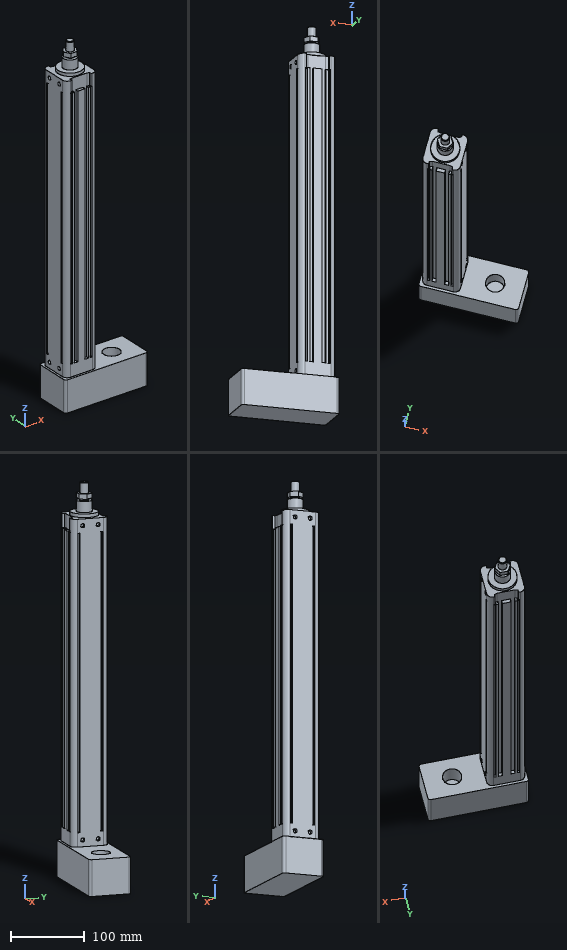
import cadquery as cq

total_height = 551.0

base_length = 140.0
base_width = 60.0
base_height = 51.0
base_corner_radius = 4.0
motor_hole_diameter = 26.0
motor_hole_offset = 70.0
motor_hole_depth = base_height / 2

column_side = 53.0
column_corner_radius = 7.5
column_top = 505.0
end_cap_height = 20.0
profile_bottom = base_height + end_cap_height
profile_top = column_top - end_cap_height
profile_length = profile_top - profile_bottom
half_side = column_side / 2

slot_inner = 6.0
slot_width = 5.5
slot_depth = 5.0
groove_inner = 15.0
groove_width = 3.0
groove_depth = 3.5

recess_floor_width = 25.0
recess_mouth_width = 32.5
recess_wall_depth = 4.0
recess_depth = 5.0

cap_hole_diameter = 5.5
cap_hole_depth = 5.0
cap_hole_point_depth = 1.5
cap_hole_offset = 11.0
cap_hole_end_distance = 9.5

flange_diameter = 39.5
flange_top = 510.0
rod_diameter = 22.0
rod_top = 525.5
thread_diameter = 12.0
thread_chamfer = 1.0
nut_across_corners = 22.0
nut_bottom = 528.5
nut_height = 7.0


def cylinder(diameter, bottom, top):
    return cq.Workplane("XY").workplane(offset=bottom).circle(diameter / 2).extrude(top - bottom)


def make_base():
    """Housing whose -X end is centred on the rod axis, with a blind motor hole in its top."""
    base = (
        cq.Workplane("XY")
        .center((base_length - base_width) / 2, 0)
        .rect(base_length, base_width)
        .extrude(base_height)
        .edges("|Z")
        .fillet(base_corner_radius)
    )
    motor_hole = cylinder(motor_hole_diameter, base_height - motor_hole_depth, base_height)
    return base.cut(motor_hole.translate((motor_hole_offset, 0, 0)))


def lengthwise_cut(inner, width, depth):
    """Pair of straight channels in the -Y face, mirrored about X = 0."""
    return (
        cq.Workplane("XY")
        .workplane(offset=profile_bottom)
        .pushPoints([(side * (inner + width / 2), -half_side + depth / 2) for side in (-1, 1)])
        .rect(width, depth)
        .extrude(profile_length)
    )


def cap_recess():
    """Recess with sloped inner corners in the -Y face, open at the column top."""
    wall_y = -half_side + recess_wall_depth
    floor_y = -half_side + recess_depth
    return (
        cq.Workplane("XY")
        .workplane(offset=profile_top)
        .polyline([
            (-recess_mouth_width / 2, -half_side),
            (recess_mouth_width / 2, -half_side),
            (recess_mouth_width / 2, wall_y),
            (recess_floor_width / 2, floor_y),
            (-recess_floor_width / 2, floor_y),
            (-recess_mouth_width / 2, wall_y),
        ])
        .close()
        .extrude(end_cap_height)
    )


def cap_hole(y, z):
    """Cutter for one drilled hole with a conical floor, entering the -X face."""
    radius = cap_hole_diameter / 2
    return (
        cq.Workplane("XY")
        .polyline([
            (-half_side, 0),
            (-half_side, radius),
            (-half_side + cap_hole_depth, radius),
            (-half_side + cap_hole_depth + cap_hole_point_depth, 0),
        ])
        .close()
        .revolve(360, (0, 0, 0), (1, 0, 0))
        .translate((0, y, z))
    )


def cap_holes():
    """Two holes in the -X face of each end cap."""
    holes = cq.Workplane("XY")
    for z in (base_height + cap_hole_end_distance, column_top - cap_hole_end_distance):
        for y in (-cap_hole_offset, cap_hole_offset):
            holes = holes.add(cap_hole(y, z))
    return holes.combine()


def make_column():
    column = (
        cq.Workplane("XY")
        .workplane(offset=base_height)
        .rect(column_side, column_side)
        .extrude(column_top - base_height)
        .edges("|Z")
        .fillet(column_corner_radius)
    )
    grooves = lengthwise_cut(groove_inner, groove_width, groove_depth)
    cutters = [
        lengthwise_cut(slot_inner, slot_width, slot_depth),
        grooves,
        grooves.rotate((0, 0, 0), (0, 0, 1), 90),
        cap_recess(),
        cap_holes(),
    ]
    for cutter in cutters:
        column = column.cut(cutter)
        column = column.cut(cutter.rotate((0, 0, 0), (0, 0, 1), 180))
    return column


def make_rod():
    flange = cylinder(flange_diameter, column_top, flange_top)
    rod = cylinder(rod_diameter, flange_top, rod_top)
    thread = cylinder(thread_diameter, rod_top, total_height).faces(">Z").chamfer(thread_chamfer)
    nut = (
        cq.Workplane("XY")
        .workplane(offset=nut_bottom)
        .polygon(6, nut_across_corners)
        .extrude(nut_height)
    )
    return flange.union(rod).union(thread).union(nut)


result = make_base().union(make_column()).union(make_rod())